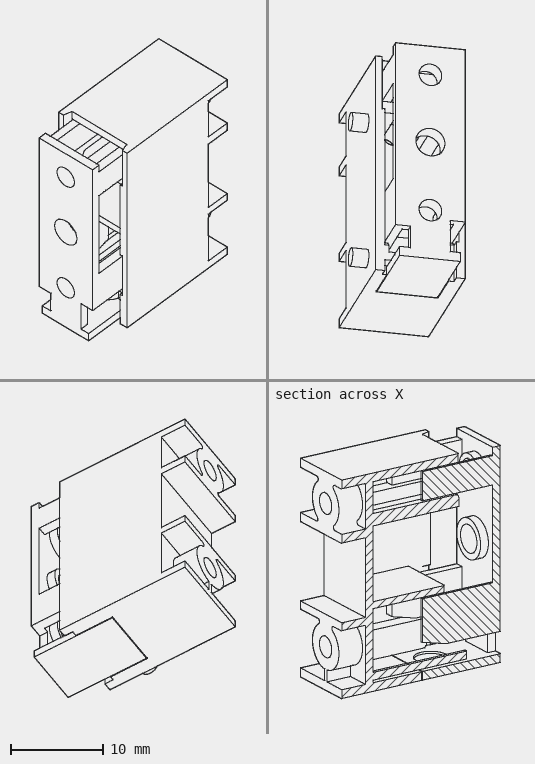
import cadquery as cq
import math

CUT = 0.25

width = 10.0
depth = 16.2
height = 25.25
side_wall = 1.0
plate = 1.05
mid_x = width / 2
inner_right = width - side_wall
rim = 1.05

terminal_depth = 3.05
back_face = depth - terminal_depth
cavity_back = back_face - plate

peg_length = 1.8
peg_radius = 1.0
peg_y = 4.02
peg_heights = (3.0, 19.0)

sleeve_radius = 2.63
sleeve_bore = 1.2
sleeve_web = 0.5
sleeve_fillet = 0.3
lower_sleeve_z = 5.03
upper_sleeve_z = 21.57
lower_divider = (7.83, 8.8)
upper_divider = (17.93, 19.0)

lead_in = 0.3
left_lead_ins = ((19.12, height),)
right_lead_ins = ((4.27, 9.98), (20.1, height))

guide_reach = 1.7
guide_front = 0.99
guide_bottom = 19.1
guide_top = 20.59
guide_round = 0.48
shelf_front = 2.88
shelf_bottom = 9.55
shelf_top = 10.4

rail_bottom = 1.3
rail_step = 2.25
rail_top = 3.5
rail_reach = 1.15
rail_stem = 0.48
block_bottom = 1.26
block_step = 3.4
block_top = 4.67
block_setback = 0.5
block_reach = 1.65
block_chamfer = 0.38
block_undercut = 0.25

slider_left = 1.1
slider_right = 8.92
slider_front = -4.37
slider_plate = 1.04
slider_top = 25.08
plate_back = slider_front + slider_plate
arm_end = 5.73
left_arm = 0.99
right_arm = 1.09
upper_arm = (20.7, 24.12)
lower_arm_top = 9.45
left_arm_bottom = 3.59
right_arm_bottom = 4.72
arm_slope_start = 2.68
arm_slope_rise = 0.78

base_left = 1.57
base_right = 8.34
base_thickness = 1.05
base_clearance = 0.08
left_notch_edge = 2.8
right_notch_edge = 7.22

boss_length = 1.0
screw_bore = 1.26
screw_boss = 1.87
button_bore = 1.62
button_boss = 2.35
lower_screw_z = 5.7
upper_screw_z = 21.7
button_z = 13.75
base_pocket_y = 2.58
base_pocket_radius = screw_boss
base_pocket_depth = 0.25


def block(x0, x1, y0, y1, z0, z1):
    """Box between two limits on every axis."""
    return cq.Workplane("XY").box(x1 - x0, y1 - y0, z1 - z0, centered=False).translate((x0, y0, z0))


def rod_y(x, z, radius, y0, y1):
    """Cylinder along Y."""
    return cq.Workplane("XZ", origin=(x, y0, z)).circle(radius).extrude(y0 - y1)


def extrude_along_x(points_yz, x0, x1):
    """Prism whose outline lies in the YZ plane."""
    return cq.Workplane("YZ", origin=(x0, 0, 0)).polyline(points_yz).close().extrude(x1 - x0)


def shell():
    """Case with an open front, set-back top and floor, and dividers across the back."""
    body = block(0, width, 0, back_face, 0, height)
    body = body.cut(block(side_wall, inner_right, -CUT, cavity_back, plate, height - plate))
    body = body.cut(block(side_wall, inner_right, -CUT, rim, -CUT, height + CUT))
    floor_slot = block(base_left - base_clearance, base_right + base_clearance,
                       -CUT, arm_end + base_clearance, -CUT, plate)
    body = body.cut(floor_slot)
    end_plates = ((0, plate), lower_divider, upper_divider, (height - plate, height))
    for bottom, top in end_plates:
        body = body.union(block(0, width, cavity_back, depth, bottom, top))
    return body


def lead_in_cut(wall_face, outward, bottom, top):
    """Wedge that flares the mouth of the cavity; outward is -1 on the left and 1 on the right."""
    outline = [(wall_face, 0), (wall_face + outward * lead_in, 0), (wall_face, rim)]
    return cq.Workplane("XY", origin=(0, 0, bottom)).polyline(outline).close().extrude(top - bottom)


def fillet_web(sleeve_z, plate_z):
    """Web from a sleeve to a plate, with a concave fillet on each flank."""
    toward = 1 if plate_z > sleeve_z else -1
    fillet_z = plate_z - toward * sleeve_fillet
    reach = sleeve_radius + sleeve_fillet
    rise = fillet_z - sleeve_z
    fillet_offset = math.sqrt(reach ** 2 - rise ** 2)
    tangent_z = sleeve_z + rise * sleeve_radius / reach
    web = block(mid_x - fillet_offset, mid_x + fillet_offset, back_face, depth,
                min(tangent_z, plate_z), max(tangent_z, plate_z))
    for side in (-1, 1):
        web = web.cut(rod_y(mid_x + side * fillet_offset, fillet_z, sleeve_fillet, back_face, depth))
    return web


def guide(x0, x1):
    """Bar along the cavity with its upper front edge rounded."""
    bar = block(x0, x1, guide_front, cavity_back + CUT, guide_bottom, guide_top)
    return bar.faces("<Y").edges(">Z").fillet(guide_round)


def rail():
    """Stepped rail on the left wall, below the slider's left arm."""
    foot = block(side_wall, side_wall + rail_reach, 0, cavity_back + CUT, rail_bottom, rail_step)
    stem = block(side_wall, side_wall + rail_stem, 0, cavity_back + CUT, rail_bottom, rail_top)
    return foot.union(stem.faces("<Y").edges(">Z").chamfer(rail_stem))


def support_block():
    """Stepped block on the right wall, below the slider's right arm."""
    outline = [
        (rim + block_setback + block_undercut, block_bottom),
        (rim + block_setback, block_bottom + block_chamfer),
        (rim + block_setback, block_step),
        (rim, block_step),
        (rim, block_top - block_chamfer),
        (rim + block_chamfer, block_top),
        (cavity_back + CUT, block_top),
        (cavity_back + CUT, block_bottom),
    ]
    return extrude_along_x(outline, inner_right - block_reach, inner_right)


def make_housing():
    body = shell()
    for bottom, top in left_lead_ins:
        body = body.cut(lead_in_cut(side_wall, -1, bottom, top))
    for bottom, top in right_lead_ins:
        body = body.cut(lead_in_cut(inner_right, 1, bottom, top))

    body = body.union(guide(side_wall, side_wall + guide_reach))
    body = body.union(guide(inner_right - guide_reach, inner_right))
    body = body.union(block(side_wall, inner_right, shelf_front, cavity_back + CUT, shelf_bottom, shelf_top))
    body = body.union(rail()).union(support_block())

    for sleeve_z in (lower_sleeve_z, upper_sleeve_z):
        body = body.union(rod_y(mid_x, sleeve_z, sleeve_radius, back_face - CUT, depth))
    body = body.union(fillet_web(lower_sleeve_z, lower_divider[0]))
    body = body.union(fillet_web(upper_sleeve_z, upper_divider[1]))
    body = body.union(fillet_web(upper_sleeve_z, height - plate))
    body = body.union(block(mid_x - sleeve_web / 2, mid_x + sleeve_web / 2, back_face, depth,
                            plate, lower_sleeve_z))
    for sleeve_z in (lower_sleeve_z, upper_sleeve_z):
        body = body.cut(rod_y(mid_x, sleeve_z, sleeve_bore, cavity_back - CUT, depth + CUT))

    for peg_z in peg_heights:
        peg = cq.Workplane("YZ", origin=(-peg_length, peg_y, peg_z)).circle(peg_radius)
        body = body.union(peg.extrude(peg_length))
    return body


def face_plate():
    """Front plate with its lower corners notched beside the base."""
    face = block(slider_left, slider_right, slider_front, plate_back, 0, slider_top)
    face = face.cut(block(slider_left, left_notch_edge, slider_front, plate_back, 0, left_arm_bottom))
    return face.cut(block(right_notch_edge, slider_right, slider_front, plate_back, 0, right_arm_bottom))


def arms(x0, x1, lower_arm_bottom):
    """Upper and lower arm of one side; the lower one rises toward its end."""
    upper = block(x0, x1, plate_back, arm_end, *upper_arm)
    outline = [
        (plate_back, lower_arm_bottom),
        (arm_slope_start, lower_arm_bottom),
        (arm_end, lower_arm_bottom + arm_slope_rise),
        (arm_end, lower_arm_top),
        (plate_back, lower_arm_top),
    ]
    return upper.union(extrude_along_x(outline, x0, x1))


def base():
    """Bottom plate with a shallow round pocket in its upper face."""
    floor = block(base_left, base_right, slider_front, arm_end, 0, base_thickness)
    pocket = (cq.Workplane("XY", origin=(mid_x, base_pocket_y, base_thickness))
              .circle(base_pocket_radius).extrude(-base_pocket_depth))
    return floor.cut(pocket)


def make_slider():
    body = face_plate().union(base())
    body = body.union(arms(slider_left, slider_left + left_arm, left_arm_bottom))
    body = body.union(arms(slider_right - right_arm, slider_right, right_arm_bottom))
    openings = (
        (lower_screw_z, screw_bore, screw_boss),
        (button_z, button_bore, button_boss),
        (upper_screw_z, screw_bore, screw_boss),
    )
    for z, bore, boss in openings:
        body = body.union(rod_y(mid_x, z, boss, plate_back, plate_back + boss_length))
        body = body.cut(rod_y(mid_x, z, bore, slider_front - CUT, plate_back + boss_length + CUT))
    return body


housing = make_housing()
slider = make_slider()

result = cq.Compound.makeCompound([housing.val(), slider.val()])